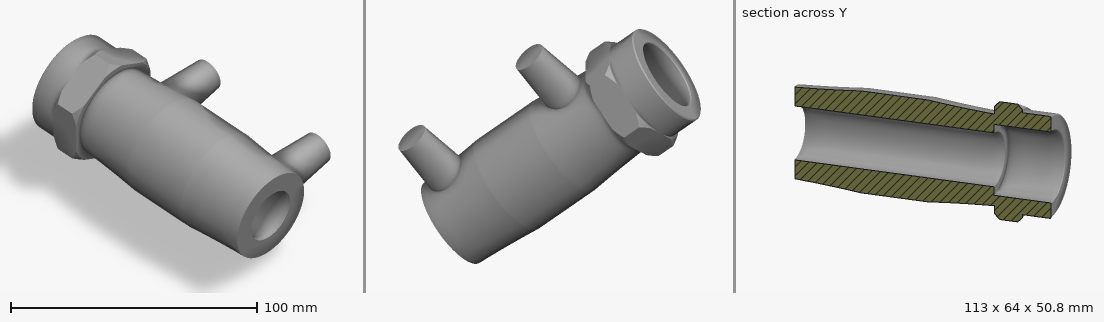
import cadquery as cq
import math

TOTAL_LENGTH = 113.0

COLLAR_DIAMETER = 44.0
COLLAR_LENGTH = 12.5
COLLAR_CHAMFER = 0.5
HEX_ACROSS_FLATS = 44.0
HEX_LENGTH = 12.5
HEX_FACE_DIAMETER = 46.2

BARREL_DIAMETER = 44.0
BARREL_END_DIAMETER = 39.6
FLARE_SAG = 0.2

BORE_DIAMETER = 23.0
SOCKET_DIAMETER = 30.29
SOCKET_CHAMFER = 0.4

SPIGOT_TIP_Y = 42.0
SPIGOT_TIP_DIAMETER = 14.0
SPIGOT_TAPER_DEGREES = 5.0
SPIGOT_INSET = 13.2

HEX_END_X = COLLAR_LENGTH + HEX_LENGTH
BARREL_THIRD = (TOTAL_LENGTH - HEX_END_X) / 3
MIDDLE_START_X = HEX_END_X + BARREL_THIRD
MIDDLE_END_X = TOTAL_LENGTH - BARREL_THIRD
SPIGOT_POSITIONS_X = (HEX_END_X + SPIGOT_INSET, TOTAL_LENGTH - SPIGOT_INSET)
SOCKET_DEPTH = HEX_END_X


def cylinder_x(diameter, start_x, length):
    """Cylinder along the main axis."""
    return cq.Workplane("YZ", origin=(start_x, 0, 0)).circle(diameter / 2).extrude(length)


def make_collar():
    collar = cylinder_x(COLLAR_DIAMETER, 0, COLLAR_LENGTH)
    return collar.faces("<X").edges().chamfer(COLLAR_CHAMFER)


def make_hexagon():
    """Hexagon with flats facing +Y and -Y, its corners bevelled at 45 degrees on both faces."""
    corner_diameter = HEX_ACROSS_FLATS / math.cos(math.pi / 6)
    bevel = (corner_diameter - HEX_FACE_DIAMETER) / 2
    prism = (
        cq.Workplane("YZ", origin=(COLLAR_LENGTH, 0, 0))
        .polygon(6, corner_diameter)
        .extrude(HEX_LENGTH)
        .rotate((0, 0, 0), (1, 0, 0), 90)
    )
    bevelled_blank = cylinder_x(corner_diameter, COLLAR_LENGTH, HEX_LENGTH)
    bevelled_blank = bevelled_blank.faces("<X or >X").edges().chamfer(bevel)
    return prism.intersect(bevelled_blank)


def make_barrel():
    """Revolved barrel with a cylindrical middle and a narrowing flare towards each end."""
    middle_radius = BARREL_DIAMETER / 2
    end_radius = BARREL_END_DIAMETER / 2
    half_third = BARREL_THIRD / 2
    flare_mid_radius = (middle_radius + end_radius) / 2 - FLARE_SAG
    return (
        cq.Workplane("XY")
        .moveTo(HEX_END_X, 0)
        .lineTo(HEX_END_X, end_radius)
        .threePointArc((HEX_END_X + half_third, flare_mid_radius), (MIDDLE_START_X, middle_radius))
        .lineTo(MIDDLE_END_X, middle_radius)
        .threePointArc((TOTAL_LENGTH - half_third, flare_mid_radius), (TOTAL_LENGTH, end_radius))
        .lineTo(TOTAL_LENGTH, 0)
        .close()
        .revolve(360, (0, 0, 0), (1, 0, 0))
    )


def make_spigot(x):
    """Cone from the main axis out to its tip; the bore later trims the inner end."""
    tip_radius = SPIGOT_TIP_DIAMETER / 2
    root_radius = tip_radius + SPIGOT_TIP_Y * math.tan(math.radians(SPIGOT_TAPER_DEGREES))
    cone = cq.Solid.makeCone(root_radius, tip_radius, SPIGOT_TIP_Y, cq.Vector(x, 0, 0), cq.Vector(0, 1, 0))
    return cq.Workplane(obj=cone)


def make_bores():
    """Through bore with a wider socket, chamfered at its mouth."""
    bore = cylinder_x(BORE_DIAMETER, 0, TOTAL_LENGTH)
    socket = cylinder_x(SOCKET_DIAMETER, 0, SOCKET_DEPTH)
    mouth_radius = SOCKET_DIAMETER / 2 + SOCKET_CHAMFER
    mouth = cq.Solid.makeCone(
        mouth_radius, SOCKET_DIAMETER / 2, SOCKET_CHAMFER, cq.Vector(0, 0, 0), cq.Vector(1, 0, 0)
    )
    return bore.union(socket).union(cq.Workplane(obj=mouth))


body = make_collar().union(make_hexagon()).union(make_barrel())
for spigot_x in SPIGOT_POSITIONS_X:
    body = body.union(make_spigot(spigot_x))

result = body.cut(make_bores())